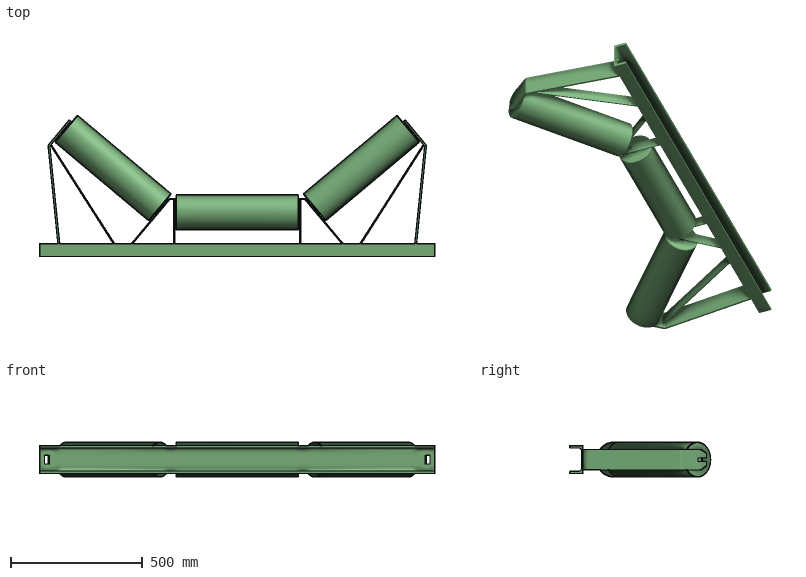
import cadquery as cq
import math


channel_length = 1500.0
channel_depth = 50.0
channel_height = 106.0
flange_thickness = 9.8
web_thickness = 5.0
root_radius = 10.0
toe_radius = 3.8
slot_offset = 722.0
slot_width = 18.0
slot_height = 33.0

roller_length = 465.0
roller_diameter = 134.0
axle_diameter = 20.0
axle_flat = 14.0
end_gap = 5.0
rim_chamfer = 2.2
hub_diameter = 39.0
trough_angle = 40.0
middle_height = 118.0
wing_x = 471.0
wing_height = 286.0

outer_width = 78.0
inner_width = 40.0
bend_radius = 12.0
outer_thickness = 8.0
inner_thickness = 5.0
outer_foot_x = 681.0
outer_bend_x = 718.0
wing_tip_reach = 33.0
tip_chamfer_length = 27.0
tip_chamfer_width = 15.0
inner_ledge_height = 171.0

strut_width = 44.0
strut_thickness = 5.0
strut_foot_x = 471.0
strut_top_height = 372.0

slope = math.radians(trough_angle)
along = cq.Vector(math.cos(slope), math.sin(slope))
across = cq.Vector(-math.sin(slope), math.cos(slope))
wing_center = cq.Vector(wing_x, wing_height)
inner_face = roller_length / 2 + end_gap


def wing_point(distance_along, distance_across):
    """Point given in the tilted roller's own directions."""
    return wing_center + along * distance_along + across * distance_across


def point_at_height(distance_along, height):
    """Point at a given height on a line square to the tilted roller's axis."""
    start = wing_point(distance_along, 0)
    return start + across * ((height - start.y) / across.y)


def plate(points, width):
    """Plate standing on edge: an XY outline given a width centred on Z = 0."""
    outline = [(p.x, p.y) for p in points]
    return cq.Workplane("XY").polyline(outline).close().extrude(width / 2, both=True)


def nearest(point):
    """Selector for the edge whose middle lies at an outline corner."""
    return cq.NearestToPointSelector((point.x, point.y, 0))


def place_wing(body):
    """Move a body built about the origin along X to the +X tilted roller."""
    return body.rotate((0, 0, 0), (0, 0, 1), trough_angle).translate((wing_center.x, wing_center.y, 0))


def make_channel():
    """Channel with its web on Y = 0 and its flanges pointing to -Y."""
    body = cq.Workplane("XY").box(channel_length, channel_depth, channel_height)
    body = body.translate((0, -channel_depth / 2, 0))
    inside = (
        cq.Workplane("XY")
        .box(channel_length, channel_depth, channel_height - 2 * flange_thickness)
        .edges("|X and >Y")
        .fillet(root_radius)
        .translate((0, -channel_depth / 2 - web_thickness, 0))
    )
    slots = (
        cq.Workplane("XZ")
        .pushPoints([(-slot_offset, 0), (slot_offset, 0)])
        .rect(slot_width, slot_height)
        .extrude(channel_depth)
    )
    body = body.cut(inside)
    for side in (-1, 1):
        toe = (0, -channel_depth, side * (channel_height / 2 - flange_thickness))
        body = body.edges(cq.NearestToPointSelector(toe)).fillet(toe_radius)
    return body.cut(slots)


def rod(diameter, start, end):
    """Round bar along X."""
    return cq.Workplane("ZY", origin=(end, 0, 0)).circle(diameter / 2).extrude(end - start)


def flat_zone():
    """Slab between the two flats of an axle end, wider than any part of a roller."""
    return cq.Workplane("XY").box(channel_length, channel_length, axle_flat)


def make_roller(left_plate, right_plate):
    """Roller along X with hubs and flatted axle ends reaching through the two plates."""
    left_end = inner_face + left_plate
    right_end = inner_face + right_plate
    shell = rod(roller_diameter, -roller_length / 2, roller_length / 2).faces("|X").chamfer(rim_chamfer)
    hubs = rod(hub_diameter, -inner_face, inner_face)
    axle = rod(axle_diameter, -left_end, right_end)
    return shell.union(hubs).union(axle.intersect(flat_zone()))


def make_axle_slot(plate_thickness):
    """Cutter along +X for the open slot that holds an axle end."""
    seat = rod(axle_diameter, 0, plate_thickness)
    opening = cq.Workplane("YZ").rect(roller_diameter, axle_diameter).extrude(plate_thickness)
    opening = opening.translate((0, roller_diameter / 2, 0))
    return seat.union(opening).intersect(flat_zone()).translate((inner_face, 0, 0))


def bend_corner(distance_along, x):
    """Corner at a given x on the face of the outer support's tilted arm."""
    start = wing_point(distance_along, 0)
    return start + across * ((x - start.x) / across.x)


def make_outer_support():
    """Leaning leg bent into an arm that is square to the tilted roller's axis."""
    outer_face = inner_face + outer_thickness
    inner_corner = bend_corner(inner_face, outer_bend_x - outer_thickness)
    outer_corner = bend_corner(outer_face, outer_bend_x)
    points = [
        cq.Vector(outer_foot_x - outer_thickness, 0),
        inner_corner,
        wing_point(inner_face, wing_tip_reach),
        wing_point(outer_face, wing_tip_reach),
        outer_corner,
        cq.Vector(outer_foot_x, 0),
    ]
    body = plate(points, outer_width)
    body = body.edges(nearest(inner_corner)).fillet(bend_radius - outer_thickness)
    body = body.edges(nearest(outer_corner)).fillet(bend_radius)
    return body.cut(make_tip_trim()).cut(place_wing(make_axle_slot(outer_thickness)))


def make_tip_trim():
    """Corners cut off the free end of an outer support."""
    half_width = outer_width / 2
    corner = (
        cq.Workplane("YZ")
        .polyline(
            [
                (wing_tip_reach, half_width),
                (wing_tip_reach - tip_chamfer_length, half_width),
                (wing_tip_reach, half_width - tip_chamfer_width),
            ]
        )
        .close()
        .extrude(outer_thickness)
        .translate((inner_face, 0, 0))
    )
    return place_wing(corner.union(corner.mirror("XY")))


def make_inner_support():
    """Upright leg, short level ledge and sloping arm, carrying a middle and a tilted axle end."""
    back = -inner_face - inner_thickness
    top = inner_ledge_height
    under = top - inner_thickness
    points = [
        cq.Vector(inner_face, 0),
        cq.Vector(inner_face, top),
        point_at_height(-inner_face, top),
        point_at_height(-inner_face, 0),
        point_at_height(back, 0),
        point_at_height(back, under),
        cq.Vector(inner_face + inner_thickness, under),
        cq.Vector(inner_face + inner_thickness, 0),
    ]
    middle_slot = make_axle_slot(inner_thickness).translate((0, middle_height, 0))
    wing_slot = place_wing(make_axle_slot(inner_thickness).mirror("YZ"))
    return plate(points, inner_width).cut(middle_slot).cut(wing_slot)


def make_strut():
    """Brace from the channel to the tilted arm, just inside the outer support's bend."""
    top = point_at_height(inner_face, strut_top_height)
    foot = cq.Vector(strut_foot_x, 0)
    run = top - foot
    end_face = strut_thickness * run.Length / abs(across.cross(run).z)
    foot_face = strut_thickness * run.Length / run.y
    points = [foot, top, top + across * end_face, foot - cq.Vector(foot_face, 0)]
    return plate(points, strut_width)


channel = make_channel()
middle_roller = make_roller(inner_thickness, inner_thickness).translate((0, middle_height, 0))
wing_parts = [
    place_wing(make_roller(inner_thickness, outer_thickness)),
    make_outer_support(),
    make_inner_support(),
    make_strut(),
]

bodies = [channel.solids().val(), middle_roller.solids().val()]
for part in wing_parts:
    bodies.append(part.solids().val())
    bodies.append(part.mirror("YZ").solids().val())

result = cq.Compound.makeCompound(bodies)